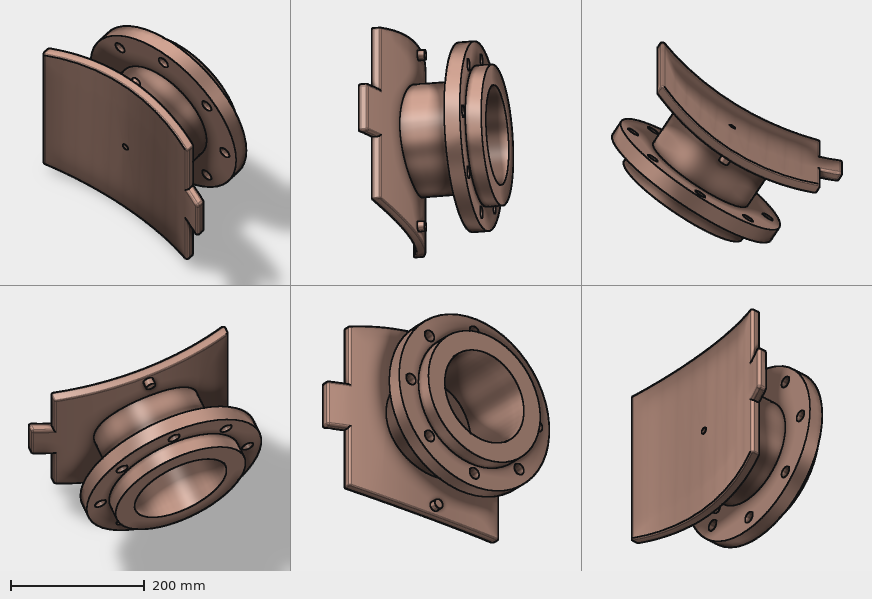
import cadquery as cq
import math

SPIGOT_DIAMETER = 212.0
SPIGOT_LENGTH = 24.3
FLANGE_DIAMETER = 285.0
FLANGE_THICKNESS = 24.0
FLANGE_END = SPIGOT_LENGTH + FLANGE_THICKNESS
BOLT_CIRCLE_DIAMETER = 240.0
BOLT_HOLE_DIAMETER = 18.0
BOLT_HOLE_COUNT = 8

PIPE_DIAMETER = 169.6
BORE_DIAMETER = 150.0

PLATE_FRONT_RADIUS = 400.0
PLATE_THICKNESS = 15.0
PLATE_BACK_RADIUS = PLATE_FRONT_RADIUS + PLATE_THICKNESS
PLATE_FRONT = 136.0
PLATE_BACK = PLATE_FRONT - PLATE_THICKNESS
PLATE_AXIS = PLATE_FRONT + PLATE_FRONT_RADIUS
PLATE_HALF_WIDTH = 142.0
PLATE_HALF_HEIGHT = 150.0
PLATE_CORNER_Z = 134.5
CENTER_HOLE_DIAMETER = 10.4

TAB_END_X = 173.25
TAB_HEIGHT = 75.0
TAB_ROOT_X = 120.0

SIDE_FILLET = 4.0
ARCHED_END_FILLET = 2.0
TAB_FILLET = 4.0

PIN_ROOT_DIAMETER = 16.0
PIN_LENGTH = 10.5
PIN_DRAFT_ANGLE = 3.0
PIN_OFFSET_Z = 135.0


def axial_cylinder(diameter, start, end, x=0.0, z=0.0):
    """Cylinder along -Y between two distances from the spigot's free end."""
    return (
        cq.Workplane("XZ", origin=(x, -start, z))
        .circle(diameter / 2)
        .extrude(end - start)
    )


def upright_cylinder(radius):
    """Cylinder about the plate's vertical axis, as high as the plate."""
    return (
        cq.Workplane("XY", origin=(0, -PLATE_AXIS, 0))
        .circle(radius)
        .extrude(PLATE_HALF_HEIGHT, both=True)
    )


def flange():
    """Bolted flange with its spigot."""
    spigot = axial_cylinder(SPIGOT_DIAMETER, 0, SPIGOT_LENGTH)
    body = spigot.union(axial_cylinder(FLANGE_DIAMETER, SPIGOT_LENGTH, FLANGE_END))
    for index in range(BOLT_HOLE_COUNT):
        angle = 2 * math.pi * index / BOLT_HOLE_COUNT
        x = BOLT_CIRCLE_DIAMETER / 2 * math.cos(angle)
        z = BOLT_CIRCLE_DIAMETER / 2 * math.sin(angle)
        body = body.cut(axial_cylinder(BOLT_HOLE_DIAMETER, SPIGOT_LENGTH, FLANGE_END, x, z))
    return body


def nozzle():
    """Bored flange and pipe, the pipe ending on the back of the curved plate."""
    body = flange().union(axial_cylinder(PIPE_DIAMETER, FLANGE_END, PLATE_AXIS))
    body = body.cut(axial_cylinder(BORE_DIAMETER, 0, PLATE_AXIS))
    return body.cut(upright_cylinder(PLATE_BACK_RADIUS))


def plate_ring():
    """Complete ring that the plate and the tab are cut from."""
    return upright_cylinder(PLATE_BACK_RADIUS).cut(upright_cylinder(PLATE_FRONT_RADIUS))


def arched_plate():
    """Plate without its tab: upright sides, arched top and bottom ends."""
    outline = (
        cq.Workplane("XZ")
        .moveTo(-PLATE_HALF_WIDTH, -PLATE_CORNER_Z)
        .threePointArc((0, -PLATE_HALF_HEIGHT), (PLATE_HALF_WIDTH, -PLATE_CORNER_Z))
        .lineTo(PLATE_HALF_WIDTH, PLATE_CORNER_Z)
        .threePointArc((0, PLATE_HALF_HEIGHT), (-PLATE_HALF_WIDTH, PLATE_CORNER_Z))
        .close()
        .extrude(PLATE_AXIS)
    )
    plate = plate_ring().intersect(outline)
    plate = plate.edges("|Z").fillet(SIDE_FILLET)
    return plate.faces(">Z or <Z").edges().fillet(ARCHED_END_FILLET)


def tab():
    """Tab continuing the plate's curve on the +X side, its free edges rounded."""
    outline = (
        cq.Workplane("XZ")
        .center((TAB_ROOT_X + TAB_END_X) / 2, 0)
        .rect(TAB_END_X - TAB_ROOT_X, TAB_HEIGHT)
        .extrude(PLATE_AXIS)
    )
    blank = plate_ring().intersect(outline)
    root_edges = blank.faces("<X").edges().vals()
    free_edges = [
        edge
        for edge in blank.edges().vals()
        if not any(edge.isSame(root_edge) for root_edge in root_edges)
    ]
    return blank.newObject(free_edges).fillet(TAB_FILLET)


def pin(side):
    """Tapered pin standing on the plate's back, above (+1) or below (-1) the pipe."""
    tip = PLATE_BACK - PIN_LENGTH
    taper = math.tan(math.radians(PIN_DRAFT_ANGLE))
    root = (PLATE_BACK + PLATE_FRONT) / 2
    tip_radius = PIN_ROOT_DIAMETER / 2 - PIN_LENGTH * taper
    root_radius = tip_radius + (root - tip) * taper
    position = cq.Vector(0, -tip, side * PIN_OFFSET_Z)
    cone = cq.Solid.makeCone(tip_radius, root_radius, root - tip, position, cq.Vector(0, -1, 0))
    return cq.Workplane(obj=cone)


def build_part():
    """Nozzle, plate, tab and pins joined, with the small hole through the plate."""
    part = nozzle().union(arched_plate().union(tab()))
    part = part.union(pin(1)).union(pin(-1))
    return part.cut(axial_cylinder(CENTER_HOLE_DIAMETER, FLANGE_END, PLATE_AXIS))


result = build_part()